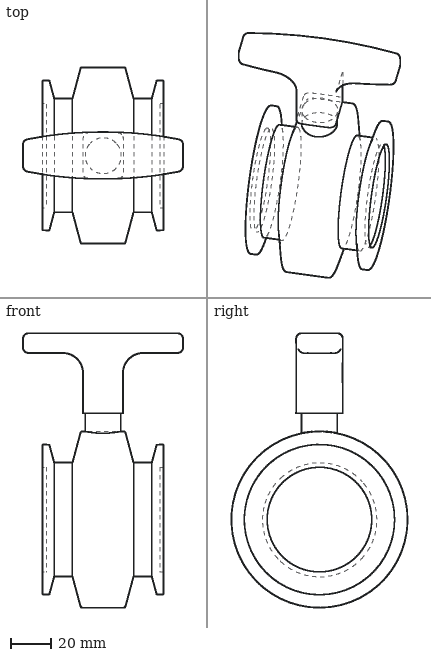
import cadquery as cq
import math


body_diameter = 88.0
neck_diameter = 57.0
flange_diameter = 75.0
recess_diameter = 52.2
recess_depth = 2.0
housing_length = 60.5
body_width = 22.2
flange_rim_width = 3.5
cone_angle = 15.0
body_edge_radius = 0.8
flange_edge_radius = 0.7

stem_diameter = 18.0

total_height = 137.0
handle_top = total_height - body_diameter / 2
handle_bottom = 53.0
grip_length = 80.0
grip_thickness = 10.0
shank_width = 20.0
handle_depth = 23.4
side_radius = 200.0
underside_radius = 10.0
handle_edge_radius = 3.0


def make_housing():
    body_radius = body_diameter / 2
    neck_radius = neck_diameter / 2
    flange_radius = flange_diameter / 2
    slope = math.tan(math.radians(cone_angle))
    end = housing_length / 2
    rim = end - flange_rim_width
    neck_outer = rim - (flange_radius - neck_radius) * slope
    body_edge = body_width / 2
    neck_inner = body_edge + (body_radius - neck_radius) * slope
    floor = end - recess_depth

    end_profile = [
        (body_edge, body_radius),
        (neck_inner, neck_radius),
        (neck_outer, neck_radius),
        (rim, flange_radius),
        (end, flange_radius),
        (end, recess_diameter / 2),
        (floor, recess_diameter / 2),
        (floor, 0),
    ]
    opposite_profile = [(-x, radius) for x, radius in reversed(end_profile)]
    section = cq.Workplane("XY").polyline(opposite_profile + end_profile).close()
    housing = section.revolve(360, (0, 0, 0), (1, 0, 0))

    housing = round_rim(housing, body_diameter, body_edge_radius)
    return round_rim(housing, flange_diameter, flange_edge_radius)


def round_rim(housing, diameter, edge_radius):
    """Round both edges of every rim of the given diameter."""
    def on_rim(edge):
        return edge.geomType() == "CIRCLE" and abs(edge.radius() - diameter / 2) < 0.01

    edges = [edge for edge in housing.edges().vals() if on_rim(edge)]
    return housing.newObject(edges).fillet(edge_radius)


def make_stem(housing):
    stem = cq.Workplane("XY").circle(stem_diameter / 2).extrude(handle_bottom)
    return stem.cut(housing)


def make_handle():
    half_length = grip_length / 2
    half_shank = shank_width / 2
    half_depth = handle_depth / 2
    end_half_depth = half_depth - side_radius + math.sqrt(side_radius**2 - half_length**2)
    underside = handle_top - grip_thickness

    plan = (
        cq.Workplane("XY")
        .workplane(offset=handle_bottom)
        .moveTo(-half_length, -end_half_depth)
        .threePointArc((0, -half_depth), (half_length, -end_half_depth))
        .lineTo(half_length, end_half_depth)
        .threePointArc((0, half_depth), (-half_length, end_half_depth))
        .close()
        .extrude(handle_top - handle_bottom)
    )

    tee = (
        cq.Workplane("XZ")
        .moveTo(-half_shank, handle_bottom)
        .lineTo(half_shank, handle_bottom)
        .lineTo(half_shank, underside - underside_radius)
        .radiusArc((half_shank + underside_radius, underside), underside_radius)
        .lineTo(half_length, underside)
        .lineTo(half_length, handle_top)
        .lineTo(-half_length, handle_top)
        .lineTo(-half_length, underside)
        .lineTo(-half_shank - underside_radius, underside)
        .radiusArc((-half_shank, underside - underside_radius), underside_radius)
        .close()
        .extrude(half_depth, both=True)
    )
    handle = plan.intersect(tee)

    margin = 0.1

    def is_outer_edge(edge):
        box = edge.BoundingBox()
        crosses_middle = box.ymin < 0 < box.ymax
        at_end = box.xmax > half_length - margin or box.xmin < -half_length + margin
        at_bottom = box.zmax < handle_bottom + margin
        return not at_bottom and (at_end or not crosses_middle)

    edges = [edge for edge in handle.edges().vals() if is_outer_edge(edge)]
    return handle.newObject(edges).fillet(handle_edge_radius)


housing = make_housing()
stem = make_stem(housing)
handle = make_handle()

result = cq.Compound.makeCompound([housing.val(), stem.val(), handle.val()])